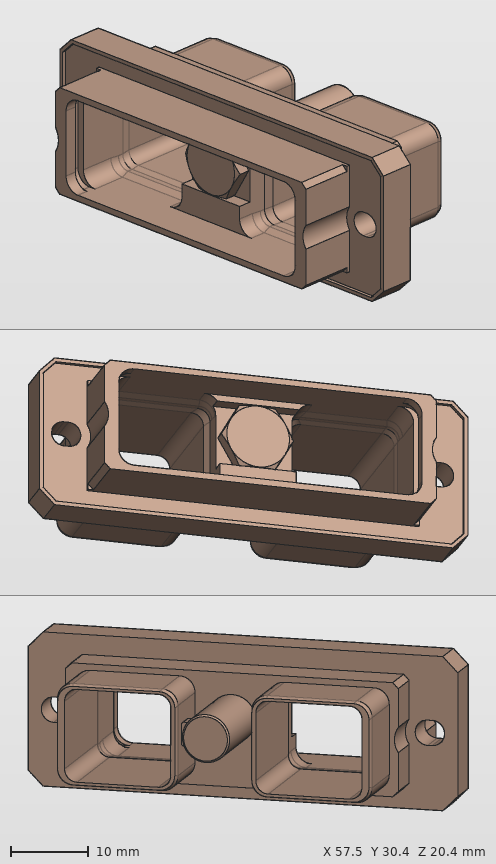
import cadquery as cq
import math


FLANGE_WIDTH = 57.45
FLANGE_HEIGHT = 20.35
FLANGE_CORNER = 2.0
FLANGE_FRONT = 7.65
FLANGE_BACK = 12.7
FLANGE_RIM = 0.5
FLANGE_RECESS = 0.5
MOUNT_HOLE_X = 25.0
MOUNT_HOLE_HEIGHT = 3.35
MOUNT_HOLE_WIDTH = 3.9

BODY_WIDTH = 44.45
BODY_HEIGHT = 15.05
BODY_BACK = 17.85
BODY_CHAMFER = 0.75
GROOVE_HALF_HEIGHT = 1.65
GROOVE_DEPTH = 0.5

CAVITY_HALF_WIDTH = 20.35
CAVITY_HEIGHT = 13.3
CAVITY_RADIUS = 2.05
UNDERCUT_FRONT = 1.7
UNDERCUT_BACK = 2.95
UNDERCUT_HALF_WIDTH = 21.0
BAY_INNER_X = 5.1
BAY_OUTER_X = 20.05
WINDOW_INNER_X = 5.7
WINDOW_OUTER_X = 19.9
WINDOW_RADIUS = 1.65
MIDDLE_HEIGHT = 12.8
WINDOW_HEIGHT = 12.25
FIRST_TAPER_START = 8.05
FIRST_TAPER_END = 9.5
SECOND_TAPER_START = 10.3
SECOND_TAPER_END = 11.25

TUBE_INNER_X = 4.95
TUBE_OUTER_X = 21.0
TUBE_HEIGHT = 13.4
TUBE_RADIUS = 2.05
TUBE_BACK = 26.7
TUBE_LEAD_LENGTH = 0.75
TUBE_LEAD_INSET = 0.2

BLOCK_FRONT = 5.65
SLOT_BOTTOM = -2.8
SLOT_TOP = 5.8
SLOT_BACK = 7.6

SCREW_Z = (SLOT_BOTTOM + SLOT_TOP) / 2
HEAD_FRONT = BLOCK_FRONT
HEAD_ACROSS_FLATS = 8.4
HEAD_CHAMFER_ANGLE = 30.0
PIN_DIAMETER = 6.3
PIN_BACK = 30.4
PIN_CHAMFER = 0.25
KEY_REACH = 3.8
KEY_MIDDLE = 27.35
KEY_LENGTH = 2.2
KEY_HEIGHT = 3.15
KEY_CHAMFER = 0.25


def plane_at(y):
    """Sketch plane facing +Y at the given depth; its local axes are -X and +Z."""
    return cq.Workplane(cq.Plane(origin=(0, y, 0), xDir=(-1, 0, 0), normal=(0, 1, 0)))


def box_between(x_min, x_max, y_min, y_max, z_min, z_max):
    size = (x_max - x_min, y_max - y_min, z_max - z_min)
    return cq.Workplane("XY").box(*size, centered=False).translate((x_min, y_min, z_min))


def block_between(x_min, x_max, height, y_min, y_max):
    """Box centred on z = 0."""
    return box_between(x_min, x_max, y_min, y_max, -height / 2, height / 2)


def rounded_block(x_min, x_max, height, radius, y_min, y_max):
    return block_between(x_min, x_max, height, y_min, y_max).edges("|Y").fillet(radius)


def rounded_taper(front, back, y_min, y_max):
    """Straight transition between two rounded rectangles given as (x_min, x_max, height, radius)."""
    def sketch(section):
        x_min, x_max, height, radius = section
        outline = cq.Sketch().rect(x_max - x_min, height).vertices().fillet(radius)
        return outline.moved(cq.Location(cq.Vector(-(x_min + x_max) / 2, 0, 0)))

    depth = cq.Location(cq.Vector(0, 0, y_max - y_min))
    return plane_at(y_min).placeSketch(sketch(front), sketch(back).moved(depth)).loft(ruled=True)


def both_sides(solid):
    """The solid together with its mirror image across x = 0."""
    return solid.union(solid.mirror("YZ"))


def make_flange():
    plate = block_between(-FLANGE_WIDTH / 2, FLANGE_WIDTH / 2, FLANGE_HEIGHT, FLANGE_FRONT, FLANGE_BACK)
    plate = plate.edges("|Y").chamfer(FLANGE_CORNER)
    recess = plate.faces("<Y").wires().toPending().workplane().offset2D(-FLANGE_RIM)
    plate = recess.cutBlind(-FLANGE_RECESS)
    holes = (
        plane_at(FLANGE_FRONT)
        .pushPoints([(-MOUNT_HOLE_X, 0), (MOUNT_HOLE_X, 0)])
        .slot2D(MOUNT_HOLE_WIDTH, MOUNT_HOLE_HEIGHT)
        .extrude(FLANGE_BACK - FLANGE_FRONT)
    )
    return plate.cut(holes)


def make_body():
    half_width = BODY_WIDTH / 2
    body = block_between(-half_width, half_width, BODY_HEIGHT, 0, BODY_BACK)
    body = body.edges("|Y").chamfer(BODY_CHAMFER)
    body = body.union(block_between(-half_width, half_width, BODY_HEIGHT, FLANGE_FRONT, FLANGE_BACK))
    groove = (
        plane_at(0)
        .moveTo(half_width, -GROOVE_HALF_HEIGHT)
        .threePointArc((half_width - GROOVE_DEPTH, 0), (half_width, GROOVE_HALF_HEIGHT))
        .close()
        .extrude(BODY_BACK)
    )
    return body.cut(both_sides(groove))


def make_tubes():
    tube_end = TUBE_BACK - TUBE_LEAD_LENGTH
    full = (TUBE_INNER_X, TUBE_OUTER_X, TUBE_HEIGHT, TUBE_RADIUS)
    end = (
        TUBE_INNER_X + TUBE_LEAD_INSET,
        TUBE_OUTER_X - TUBE_LEAD_INSET,
        TUBE_HEIGHT - 2 * TUBE_LEAD_INSET,
        TUBE_RADIUS,
    )
    tube = rounded_block(*full, BODY_BACK, tube_end)
    tube = tube.union(rounded_taper(full, end, tube_end, TUBE_BACK))
    return both_sides(tube)


def make_cavity():
    """Front pocket with an undercut behind its mouth."""
    def stage(half_width, y_min, y_max):
        return rounded_block(-half_width, half_width, CAVITY_HEIGHT, CAVITY_RADIUS, y_min, y_max)

    mouth = stage(CAVITY_HALF_WIDTH, 0, UNDERCUT_FRONT)
    undercut = stage(UNDERCUT_HALF_WIDTH, UNDERCUT_FRONT, UNDERCUT_BACK)
    inner = stage(BAY_OUTER_X, UNDERCUT_BACK, BLOCK_FRONT)
    return mouth.union(undercut).union(inner)


def make_bays():
    """The two through openings, each narrowing in two tapers."""
    entry = (BAY_INNER_X, BAY_OUTER_X, CAVITY_HEIGHT, CAVITY_RADIUS)
    middle = (BAY_INNER_X, BAY_OUTER_X, MIDDLE_HEIGHT, WINDOW_RADIUS)
    window = (WINDOW_INNER_X, WINDOW_OUTER_X, WINDOW_HEIGHT, WINDOW_RADIUS)
    bay = rounded_block(*entry, BLOCK_FRONT, FIRST_TAPER_START)
    bay = bay.union(rounded_taper(entry, middle, FIRST_TAPER_START, FIRST_TAPER_END))
    bay = bay.union(rounded_block(*middle, FIRST_TAPER_END, SECOND_TAPER_START))
    bay = bay.union(rounded_taper(middle, window, SECOND_TAPER_START, SECOND_TAPER_END))
    bay = bay.union(rounded_block(*window, SECOND_TAPER_END, TUBE_BACK))
    return both_sides(bay)


def make_screw_head():
    corner_radius = HEAD_ACROSS_FLATS / 2 / math.cos(math.radians(30))
    length = SLOT_BACK - HEAD_FRONT
    head = plane_at(HEAD_FRONT).center(0, SCREW_Z).polygon(6, 2 * corner_radius).extrude(length)
    corner_cut = corner_radius - HEAD_ACROSS_FLATS / 2
    cone = plane_at(HEAD_FRONT).center(0, SCREW_Z).circle(corner_radius).extrude(length)
    cut_length = corner_cut * math.tan(math.radians(HEAD_CHAMFER_ANGLE))
    cone = cone.faces("<Y").chamfer(cut_length, corner_cut)
    return head.intersect(cone)


def make_pin():
    pin = plane_at(BODY_BACK).center(0, SCREW_Z).circle(PIN_DIAMETER / 2).extrude(PIN_BACK - BODY_BACK)
    pin = pin.faces(">Y").chamfer(PIN_CHAMFER)
    key = box_between(
        0,
        KEY_REACH,
        KEY_MIDDLE - KEY_LENGTH / 2,
        KEY_MIDDLE + KEY_LENGTH / 2,
        SCREW_Z - KEY_HEIGHT / 2,
        SCREW_Z + KEY_HEIGHT / 2,
    )
    return pin.union(key.faces(">X").edges("|Y").chamfer(KEY_CHAMFER))


screw_slot = box_between(-WINDOW_INNER_X, WINDOW_INNER_X, BLOCK_FRONT, SLOT_BACK, SLOT_BOTTOM, SLOT_TOP)

housing = make_flange().union(make_body()).union(make_tubes())
housing = housing.cut(make_cavity()).cut(make_bays()).cut(screw_slot)

result = housing.union(make_screw_head()).union(make_pin())